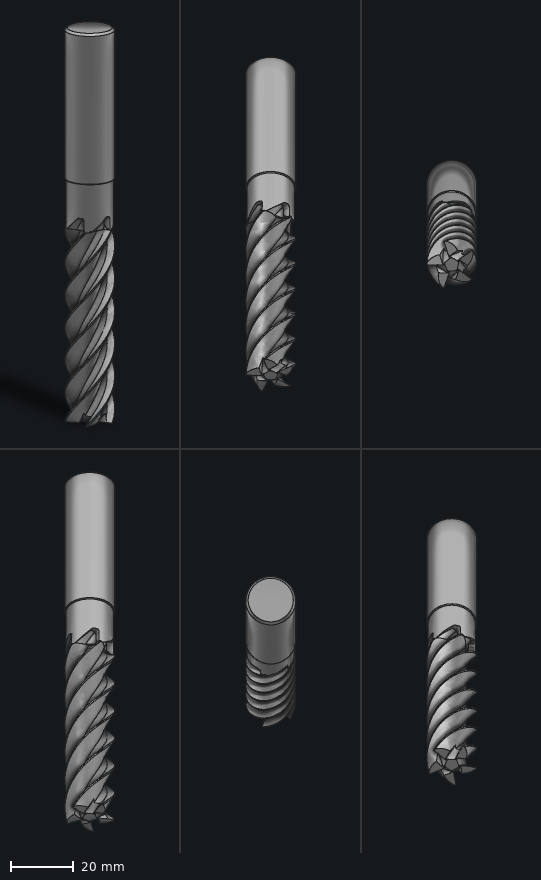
import cadquery as cq
import math


total_length = 130.0
cutter_length = 64.0
shoulder_height = 80.0
runout_top = 68.7

shank_radius = 8.0
neck_radius = 7.65
end_chamfer = 0.8
shoulder_chamfer = 0.3

flute_count = 5
pitch_angle = 360.0 / flute_count
lead = 53.8
cutting_edge_angle = -107.0

margin_end = (7.95, 5.0)
back_middle = (6.85, 17.0)
flute_bottom = (4.5, 45.0)
gullet_middle = (4.7, 58.0)
rake_foot = (5.6, 69.5)
rake_middle = (6.8, 72.5)

runout_edge_angle = 51.0
runout_base_width = 6.6
runout_top_width = 2.0
runout_floor_radius = 5.3
runout_corner_radius = 0.9

end_tooth_start = 2.2
gash_height = 3.0
gash_width = 2.5
gash_rake = 25.0
clearance_angle = 6.0
clearance_length = 4.2

overrun = 1.0
outer_reach = shank_radius + overrun


def polar(radius, angle):
    """Point in the XY plane at a radius and an angle in degrees."""
    return (radius * math.cos(math.radians(angle)), radius * math.sin(math.radians(angle)))


def twist_over(height):
    """Degrees that the flutes turn while rising by a height."""
    return 360.0 * height / lead


def fluted_bar(bottom, height):
    """Twisted bar with the tooth profile, from bottom up by a height."""
    start = cutting_edge_angle + twist_over(bottom)
    profile = cq.Workplane("XY").workplane(offset=bottom).moveTo(*polar(shank_radius, start))
    for tooth in range(flute_count):
        edge = start + tooth * pitch_angle

        def behind(place):
            return polar(place[0], edge + place[1])

        profile = (
            profile.lineTo(*behind(margin_end))
            .threePointArc(behind(back_middle), behind(flute_bottom))
            .threePointArc(behind(gullet_middle), behind(rake_foot))
            .threePointArc(behind(rake_middle), polar(shank_radius, edge + pitch_angle))
        )
    return profile.close().twistExtrude(height, twist_over(height))


def around(tool, first_angle):
    """Copies of a tool around Z, one for each flute."""
    angles = [first_angle + flute * pitch_angle for flute in range(flute_count)]
    return [tool.rotate((0, 0, 0), (0, 0, 1), angle) for angle in angles]


def gash_tool():
    """Notch below a sloping floor, in front of an end tooth that lies along +X."""
    return (
        cq.Workplane("XZ")
        .moveTo(end_tooth_start - overrun, -overrun)
        .lineTo(end_tooth_start + gash_height, gash_height)
        .lineTo(outer_reach, gash_height)
        .lineTo(outer_reach, -overrun)
        .close()
        .extrude(gash_width)
        .rotate((0, 0, 0), (1, 0, 0), -gash_rake)
    )


def clearance_tool():
    """Wedge that rises behind an end tooth that lies along +X."""
    rise = clearance_length * math.tan(math.radians(clearance_angle))
    return (
        cq.Workplane("YZ")
        .workplane(offset=end_tooth_start)
        .moveTo(0, 0)
        .lineTo(clearance_length, rise)
        .lineTo(clearance_length, -overrun)
        .lineTo(0, -overrun)
        .close()
        .extrude(outer_reach - end_tooth_start)
    )


def make_cutter():
    body = fluted_bar(0, cutter_length)
    for tool in around(gash_tool(), cutting_edge_angle) + around(clearance_tool(), cutting_edge_angle):
        body = body.cut(tool)
    return body


def make_runouts():
    """Ends of the flutes, which run out into the neck between a steep side and a sloping side."""
    height = runout_top - cutter_length
    sleeve = (
        cq.Workplane("XY")
        .workplane(offset=cutter_length)
        .circle(outer_reach)
        .circle(runout_floor_radius)
        .extrude(height)
    )
    grooves = sleeve.cut(fluted_bar(cutter_length, height))
    window = (
        cq.Workplane("XZ")
        .moveTo(0, cutter_length)
        .lineTo(0, runout_top)
        .lineTo(-runout_top_width, runout_top)
        .lineTo(-runout_base_width, cutter_length)
        .close()
        .extrude(outer_reach)
        .edges("|Y and >Z")
        .fillet(runout_corner_radius)
    )
    return [grooves.intersect(turned) for turned in around(window, runout_edge_angle)]


def make_shank():
    bar = (
        cq.Workplane("YZ")
        .moveTo(0, cutter_length)
        .lineTo(-neck_radius, cutter_length)
        .lineTo(-neck_radius, shoulder_height)
        .lineTo(-shank_radius, shoulder_height + shoulder_chamfer)
        .lineTo(-shank_radius, total_length - end_chamfer)
        .lineTo(-shank_radius + end_chamfer, total_length)
        .lineTo(0, total_length)
        .close()
        .revolve(360, (0, 0, 0), (0, 1, 0))
    )
    for runout in make_runouts():
        bar = bar.cut(runout)
    return bar


cutter = make_cutter()
shank = make_shank()
result = cq.Compound.makeCompound([cutter.val(), shank.val()])